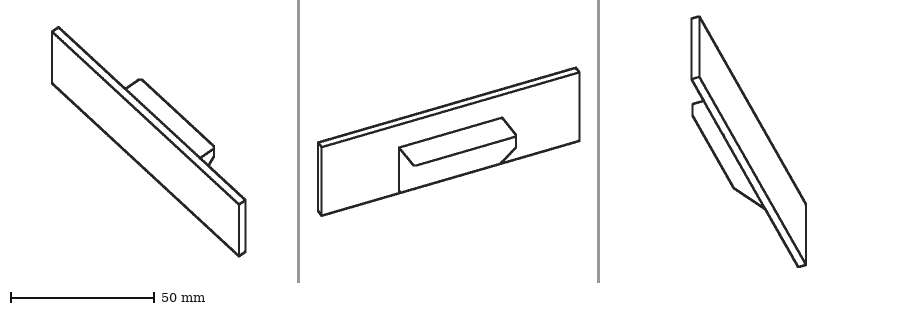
import cadquery as cq

plate_length = 100.0
plate_thickness = 3.0
plate_height = 30.0

block_length = 40.0
block_depth = 12.0
block_top = 20.0
block_nose_height = 5.0
edge_radius = 1.0

plate = cq.Workplane("XY").box(
    plate_length, plate_thickness, plate_height, centered=(True, False, False)
)

block = (
    cq.Workplane("YZ", origin=(-block_length / 2, 0, 0))
    .moveTo(plate_thickness, 0)
    .lineTo(plate_thickness, block_top)
    .lineTo(plate_thickness + block_depth, block_top)
    .lineTo(plate_thickness + block_depth, block_top - block_nose_height)
    .close()
    .extrude(block_length)
)

nose_edges = block.faces(">Y").edges("not >Z")
slope_side_edges = block.edges("not(|X or |Y or |Z)")
block = block.newObject(nose_edges.vals() + slope_side_edges.vals()).fillet(edge_radius)

result = plate.union(block)